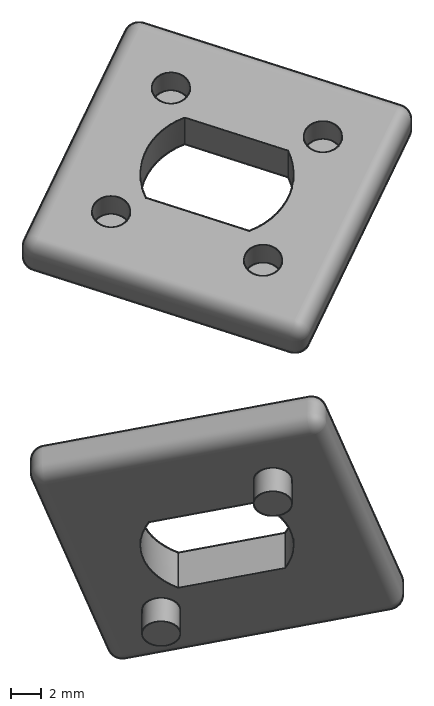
import cadquery as cq

plate_side = 20.0
plate_thickness = 3.0
edge_radius = 1.0

opening_diameter = 10.0
opening_flat_width = 6.9

pin_diameter = 2.5
pin_length = 2.0
pin_spacing = 10.65
socket_depth = pin_length


def rounded_plate():
    """Square plate with every edge rounded, bottom face on Z = 0."""
    plate = cq.Workplane("XY").box(
        plate_side, plate_side, plate_thickness, centered=(True, True, False)
    )
    return plate.edges().fillet(edge_radius)


def opening():
    """Through-opening with round ends and two flat sides."""
    cylinder = cq.Workplane("XY").circle(opening_diameter / 2).extrude(plate_thickness)
    flats = cq.Workplane("XY").rect(opening_diameter, opening_flat_width).extrude(plate_thickness)
    return cylinder.intersect(flats)


def cylinders(centers, top_z, length):
    """Cylinders of pin diameter at the given centers, reaching down from top_z."""
    return (
        cq.Workplane("XY", origin=(0, 0, top_z))
        .pushPoints(centers)
        .circle(pin_diameter / 2)
        .extrude(-length)
    )


offset = pin_spacing / 2
pin_centers = [(-offset, offset), (offset, -offset)]
socket_centers = pin_centers + [(-offset, -offset), (offset, offset)]

pins = cylinders(pin_centers, 0, pin_length)
sockets = cylinders(socket_centers, plate_thickness, socket_depth)

result = rounded_plate().cut(opening()).union(pins).cut(sockets)